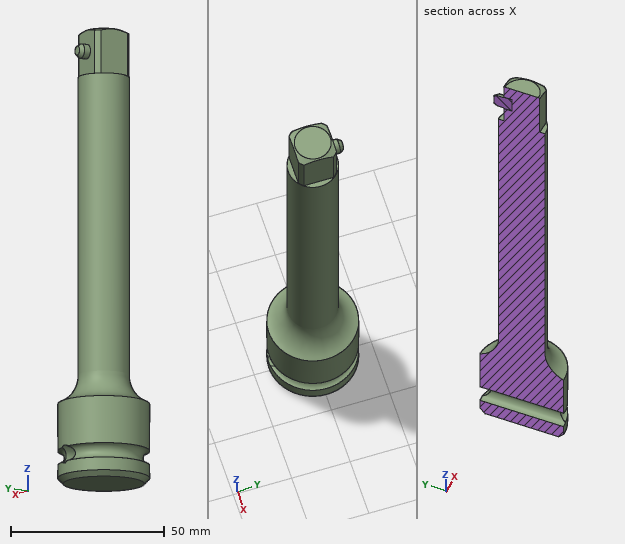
import cadquery as cq
import math

total_height = 150.0
head_radius = 15.0
bottom_chamfer = 1.8
groove_center_z = 8.4
groove_half_width = 2.4
groove_depth = 2.1
cross_hole_diameter = 5.8
head_top_z = 26.4
flare_top_z = 35.8
shaft_radius = 8.4

drive_side = 13.0
drive_height = 15.3
drive_corner_radius = 8.2
drive_top_radius = 6.0
drive_bevel_height = 1.0
shaft_top_z = total_height - drive_height

pin_radius = 2.4
pin_tip_radius = 1.5
pin_tip_length = 1.4
pin_protrusion = 3.6
pin_depth = 3.0
pin_center_z = 142.6
pin_base_y = drive_side / 2 - pin_depth
pin_length = pin_depth + pin_protrusion


def make_turned_body():
    """Revolve the head, its groove, the tangent concave flare and the shaft."""
    flare_width = head_radius - shaft_radius
    flare_height = flare_top_z - head_top_z
    flare_radius = (flare_width**2 + flare_height**2) / (2 * flare_width)
    flare_half_angle = math.asin(flare_height / flare_radius) / 2
    flare_mid = (
        shaft_radius + flare_radius * (1 - math.cos(flare_half_angle)),
        flare_top_z - flare_radius * math.sin(flare_half_angle),
    )
    return (
        cq.Workplane("XZ")
        .moveTo(0, 0)
        .lineTo(head_radius - bottom_chamfer, 0)
        .lineTo(head_radius, bottom_chamfer)
        .lineTo(head_radius, groove_center_z - groove_half_width)
        .threePointArc(
            (head_radius - groove_depth, groove_center_z),
            (head_radius, groove_center_z + groove_half_width),
        )
        .lineTo(head_radius, head_top_z)
        .threePointArc(flare_mid, (shaft_radius, flare_top_z))
        .lineTo(shaft_radius, shaft_top_z)
        .lineTo(0, shaft_top_z)
        .close()
        .revolve(360, (0, 0), (0, 1))
    )


def make_square_drive():
    """Intersect a square bar with a turned envelope that trims its corners."""
    square_bar = (
        cq.Workplane("XY")
        .workplane(offset=shaft_top_z)
        .rect(drive_side, drive_side)
        .extrude(drive_height)
    )
    corner_envelope = (
        cq.Workplane("XZ")
        .moveTo(0, shaft_top_z)
        .lineTo(drive_corner_radius, shaft_top_z)
        .lineTo(drive_corner_radius, total_height - drive_bevel_height)
        .lineTo(drive_top_radius, total_height)
        .lineTo(0, total_height)
        .close()
        .revolve(360, (0, 0), (0, 1))
    )
    return square_bar.intersect(corner_envelope)


def make_cross_hole():
    """Cylinder along Y, through the whole head at the groove."""
    return (
        cq.Workplane("XZ")
        .center(0, groove_center_z)
        .circle(cross_hole_diameter / 2)
        .extrude(head_radius, both=True)
    )


def make_pin():
    """Revolve the pin about its axis, which runs along Y."""
    return (
        cq.Workplane("YZ", origin=(0, pin_base_y, pin_center_z))
        .moveTo(0, 0)
        .lineTo(0, pin_radius)
        .lineTo(pin_length - pin_tip_length, pin_radius)
        .lineTo(pin_length, pin_tip_radius)
        .lineTo(pin_length, 0)
        .close()
        .revolve(360, (0, 0), (1, 0))
    )


def make_extension_bar(pin):
    """Join the turned body and drive, then cut the cross hole and the pin's seat."""
    body = make_turned_body().union(make_square_drive())
    return body.cut(make_cross_hole()).cut(pin)


retaining_pin = make_pin()
extension_bar = make_extension_bar(retaining_pin)

result = cq.Compound.makeCompound([extension_bar.val(), retaining_pin.val()])